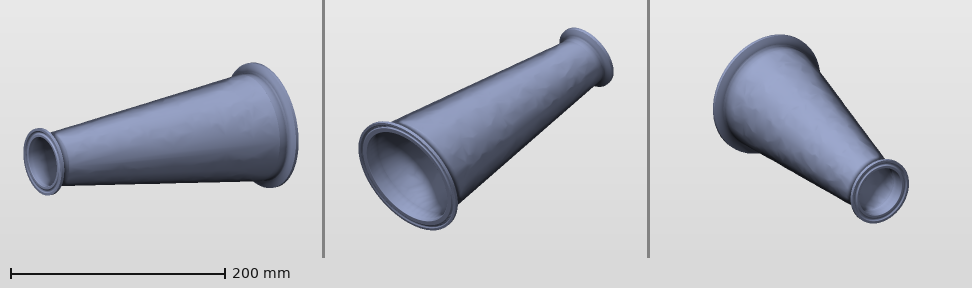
import cadquery as cq
import math

total_length = 231.8
wall = 1.6

large_tube_radius = 50.8
large_flange_radius = 59.45
large_ferrule_length = 15.3
large_back_angle = 22.0

small_tube_radius = 25.3
small_flange_radius = 31.87
small_ferrule_length = 13.0
small_back_angle = 26.0

rim_thickness = 3.0
neck_fillet = 1.9

groove_half_width = 1.5
groove_depth = 1.2
groove_edge_gap = 2.5

face_rounding = 0.5

small_end_x = small_tube_radius - large_tube_radius


def make_ferrule(tube_radius, flange_radius, length, back_angle):
    """Ferrule along +Z, with its grooved sealing face at Z = 0."""
    bore_radius = tube_radius - wall
    back_slope = math.tan(math.radians(back_angle))
    neck_start = rim_thickness + (flange_radius - tube_radius) * back_slope
    groove_outer = flange_radius - groove_edge_gap
    groove_middle = groove_outer - groove_half_width
    groove_inner = groove_middle - groove_half_width
    body = (
        cq.Workplane("XZ")
        .moveTo(bore_radius, 0)
        .lineTo(groove_inner, 0)
        .threePointArc((groove_middle, groove_depth), (groove_outer, 0))
        .lineTo(flange_radius, 0)
        .lineTo(flange_radius, rim_thickness)
        .lineTo(tube_radius, neck_start)
        .lineTo(tube_radius, length)
        .lineTo(bore_radius, length)
        .close()
        .revolve(360, (0, 0, 0), (0, 1, 0))
    )
    margin = 0.2
    neck_edge = cq.selectors.BoxSelector(
        (-flange_radius, -flange_radius, neck_start - margin),
        (flange_radius, flange_radius, neck_start + margin),
        boundingbox=True,
    )
    body = body.edges(neck_edge).fillet(neck_fillet)
    inside_rim = cq.selectors.BoxSelector(
        (-groove_outer - margin, -groove_outer - margin, -margin),
        (groove_outer + margin, groove_outer + margin, margin),
        boundingbox=True,
    )
    return body.edges("%CIRCLE").edges(inside_rim).fillet(face_rounding)


def make_offset_cone(large_radius, small_radius):
    """Solid lofted between the inner ends of the two ferrules."""
    cone_length = total_length - large_ferrule_length - small_ferrule_length
    return (
        cq.Workplane("XZ", origin=(0, small_ferrule_length, 0))
        .center(small_end_x, 0)
        .circle(small_radius)
        .workplane(offset=-cone_length)
        .center(-small_end_x, 0)
        .circle(large_radius)
        .loft(ruled=True, combine=True)
    )


small_ferrule = (
    make_ferrule(small_tube_radius, small_flange_radius, small_ferrule_length, small_back_angle)
    .rotate((0, 0, 0), (1, 0, 0), -90)
    .translate((small_end_x, 0, 0))
)

large_ferrule = (
    make_ferrule(large_tube_radius, large_flange_radius, large_ferrule_length, large_back_angle)
    .rotate((0, 0, 0), (1, 0, 0), 90)
    .translate((0, total_length, 0))
)

cone_tube = make_offset_cone(large_tube_radius, small_tube_radius).cut(
    make_offset_cone(large_tube_radius - wall, small_tube_radius - wall)
)

result = cq.Compound.makeCompound([small_ferrule.val(), cone_tube.val(), large_ferrule.val()])